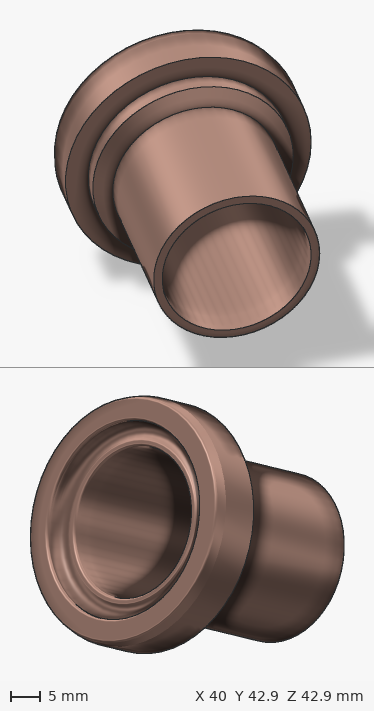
import cadquery as cq
import math

total_length = 40.0
flange_width = 9.0
hub_end = 12.0
lead_in_length = 2.0

flange_radius = 42.9 / 2
hub_radius = 35.0 / 2
tube_radius = 29.0 / 2
bore_radius = 26.0 / 2

lead_in_angle = math.radians(15)
hub_taper_angle = math.radians(60)

edge_radius = 0.5
groove_mouth_radius = 17.5
groove_section_radius = 3.5 / 2
groove_center_radius = 15.4
lip_flat_width = 0.35


def point_at(center, distance, angle):
    """Point at a distance from center; the angle turns from +X toward +radial."""
    return (
        center[0] + distance * math.cos(angle),
        center[1] + distance * math.sin(angle),
    )


def body():
    """Flange, hub and tube turned around the X axis, with a straight bore."""
    lead_in_drop = lead_in_length * math.tan(lead_in_angle)
    taper_length = (hub_radius - tube_radius) / math.tan(hub_taper_angle)
    outline = (
        cq.Workplane("XY")
        .moveTo(0, bore_radius)
        .lineTo(0, flange_radius - lead_in_drop)
        .lineTo(lead_in_length, flange_radius)
        .lineTo(flange_width, flange_radius)
        .lineTo(flange_width, hub_radius)
        .lineTo(hub_end, hub_radius)
        .lineTo(hub_end + taper_length, tube_radius)
        .lineTo(total_length, tube_radius)
        .lineTo(total_length, bore_radius)
        .close()
    )
    turned = outline.revolve(360, (0, 0, 0), (1, 0, 0))
    outer_face_edge = cq.selectors.RadiusNthSelector(-1)
    return turned.faces("<X").edges(outer_face_edge).fillet(edge_radius)


def groove_cutter():
    """Ring removed from the sealing face: rounded mouth, groove, lip and bore edge.

    All arcs run tangent into each other, so each joint lies on the line
    between the centers of the two arcs that meet there.
    """
    center_spacing = groove_section_radius + edge_radius
    mouth_center = (edge_radius, groove_mouth_radius)
    mouth_joint_angle = math.pi - math.asin((groove_mouth_radius - groove_center_radius) / center_spacing)
    groove_center = (
        edge_radius - center_spacing * math.cos(mouth_joint_angle),
        groove_center_radius,
    )

    lip_inner_radius = bore_radius + edge_radius
    lip_outer_radius = lip_inner_radius + lip_flat_width
    lip_joint_angle = -math.asin((groove_center_radius - lip_outer_radius) / center_spacing)
    lip_edge_center = point_at(groove_center, center_spacing, lip_joint_angle)
    bore_edge_center = (lip_edge_center[0], lip_inner_radius)
    lip_depth = lip_edge_center[0] - edge_radius

    toward_face_and_axis = math.radians(225)
    mouth_mid = point_at(mouth_center, edge_radius, toward_face_and_axis)
    groove_start = point_at(groove_center, groove_section_radius, mouth_joint_angle)
    groove_mid_angle = (mouth_joint_angle + lip_joint_angle) / 2
    groove_mid = point_at(groove_center, groove_section_radius, groove_mid_angle)
    groove_end = point_at(groove_center, groove_section_radius, lip_joint_angle)
    lip_edge_mid = point_at(lip_edge_center, edge_radius, math.pi + lip_joint_angle / 2)
    bore_edge_mid = point_at(bore_edge_center, edge_radius, toward_face_and_axis)

    profile = (
        cq.Workplane("XY")
        .moveTo(0, bore_radius)
        .lineTo(0, groove_mouth_radius)
        .threePointArc(mouth_mid, groove_start)
        .threePointArc(groove_mid, groove_end)
        .threePointArc(lip_edge_mid, (lip_depth, lip_outer_radius))
        .lineTo(lip_depth, lip_inner_radius)
        .threePointArc(bore_edge_mid, (bore_edge_center[0], bore_radius))
        .close()
    )
    return profile.revolve(360, (0, 0, 0), (1, 0, 0))


result = body().cut(groove_cutter())